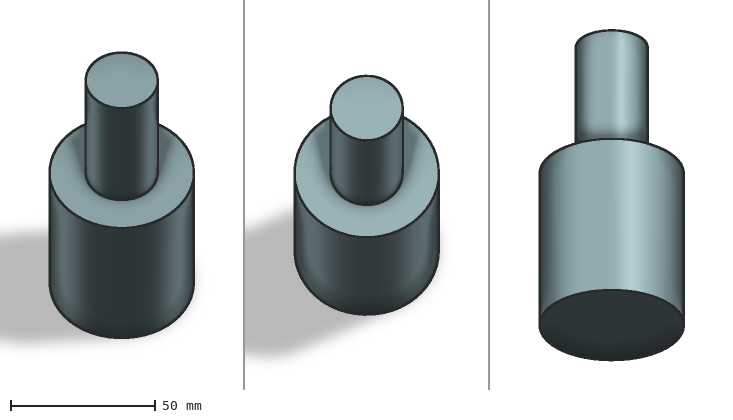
import cadquery as cq

total_height = 110.0
body_diameter = 50.0
body_height = 60.0
pin_diameter = body_diameter / 2
pin_height = total_height - body_height

body = cq.Workplane("XY").circle(body_diameter / 2).extrude(body_height)

result = body.faces(">Z").workplane().circle(pin_diameter / 2).extrude(pin_height)